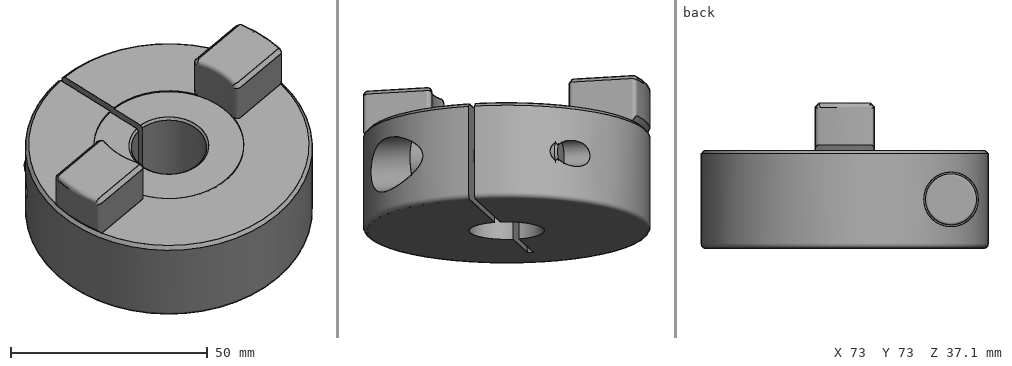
import cadquery as cq
import math

hub_radius = 36.5
hub_height = 25.0
rim_chamfer = 0.9
bottom_fillet = 1.25
bore_radius = 9.55
bore_chamfer = 0.6
recess_radius = 19.05
recess_depth = 0.4

lug_width = 15.05
lug_height = 12.05
lug_fillet = 1.2
lug_chamfer = 1.0
lug_undercut_height = 1.4

slit_width = 1.5
saw_radius = 48.2
saw_center_x = -18.25
saw_center_z = -21.9

screw_x = -27.0
screw_z = hub_height / 2
shank_radius = 4.0
shank_length = 30.0
tip_chamfer = 0.65
head_radius = 6.5
head_length = 8.0
head_fillet = 0.5
head_top_y = 17.0
head_seat_y = head_top_y - head_length
shank_end_y = head_seat_y - shank_length
counterbore_radius = 6.9
outlet_radius = shank_radius - tip_chamfer


def rod_along_y(radius, start_y, end_y):
    """Cylinder on the screw axis between two Y positions."""
    plane = cq.Plane(origin=(screw_x, start_y, screw_z), xDir=(1, 0, 0), normal=(0, 1, 0))
    return cq.Workplane(plane).circle(radius).extrude(end_y - start_y)


def make_lug():
    """Lug on the +Y side, bounded by the recess wall and the rim."""
    ring = (
        cq.Workplane("XY", origin=(0, 0, hub_height))
        .circle(hub_radius)
        .circle(recess_radius)
        .extrude(lug_height)
    )
    strip = (
        cq.Workplane("XY", origin=(0, hub_radius / 2, hub_height))
        .rect(lug_width, hub_radius)
        .extrude(lug_height)
    )
    lug = ring.intersect(strip)
    lug = lug.faces(">Z").edges("|Y").chamfer(lug_chamfer)
    curved_face_edges = lug.faces("%CYLINDER").edges("not <Z")
    return curved_face_edges.fillet(lug_fillet)


def make_rim_groove():
    """V-shaped ring that chamfers the rim and undercuts the feet of the lugs."""
    return (
        cq.Workplane("XZ")
        .moveTo(hub_radius - rim_chamfer, hub_height)
        .lineTo(hub_radius, hub_height - rim_chamfer)
        .lineTo(hub_radius + rim_chamfer, hub_height)
        .lineTo(hub_radius, hub_height + lug_undercut_height)
        .close()
        .revolve(360, (0, 0, 0), (0, 1, 0))
    )


def make_bore():
    """Through bore with a chamfered mouth, and the shallow recess around it."""
    floor_z = hub_height - recess_depth
    return (
        cq.Workplane("XZ")
        .moveTo(0, 0)
        .lineTo(bore_radius, 0)
        .lineTo(bore_radius, floor_z - bore_chamfer)
        .lineTo(bore_radius + bore_chamfer, floor_z)
        .lineTo(recess_radius, floor_z)
        .lineTo(recess_radius, hub_height)
        .lineTo(0, hub_height)
        .close()
        .revolve(360, (0, 0, 0), (0, 1, 0))
    )


def make_slit():
    """Full-height slit from the rim to the bore, plus the saw cut on the far side."""
    slit = cq.Workplane("XY").box(hub_radius, slit_width, hub_height, centered=(False, True, False))
    slit = slit.translate((-hub_radius, 0, 0))
    saw_floor_x = saw_center_x + math.sqrt(saw_radius**2 - saw_center_z**2)
    saw_top_z = saw_center_z + math.sqrt(saw_radius**2 - saw_center_x**2)
    start_angle = math.atan2(-saw_center_z, saw_floor_x - saw_center_x)
    end_angle = math.atan2(saw_top_z - saw_center_z, -saw_center_x)
    middle_angle = (start_angle + end_angle) / 2
    arc_middle = (
        saw_center_x + saw_radius * math.cos(middle_angle),
        saw_center_z + saw_radius * math.sin(middle_angle),
    )
    saw_cut = (
        cq.Workplane("XZ")
        .moveTo(0, 0)
        .lineTo(saw_floor_x, 0)
        .threePointArc(arc_middle, (0, saw_top_z))
        .close()
        .extrude(slit_width / 2, both=True)
    )
    return slit.union(saw_cut)


def make_shank():
    """Screw shank with its chamfered tip; also the shape of the hole that it fills."""
    shank = rod_along_y(shank_radius, shank_end_y, head_seat_y)
    return shank.faces("<Y").edges().chamfer(tip_chamfer)


def make_screw_hole():
    """Counterbore, hole fitting the shank and its tip, and the outlet beyond the tip."""
    counterbore = rod_along_y(counterbore_radius, head_seat_y, hub_radius)
    outlet = rod_along_y(outlet_radius, -hub_radius, shank_end_y)
    return counterbore.union(make_shank()).union(outlet)


def make_hub():
    hub = cq.Workplane("XY").circle(hub_radius).extrude(hub_height)
    hub = hub.faces("<Z").edges().fillet(bottom_fillet)
    lug = make_lug()
    for angle in (0, 180):
        hub = hub.union(lug.rotate((0, 0, 0), (0, 0, 1), angle))
    for cutter in (make_rim_groove(), make_bore(), make_slit(), make_screw_hole()):
        hub = hub.cut(cutter)
    return hub


def make_screw():
    head = rod_along_y(head_radius, head_seat_y, head_top_y).faces(">Y").edges().fillet(head_fillet)
    return make_shank().union(head)


hub = make_hub()
screw = make_screw()

result = cq.Compound.makeCompound([hub.solids().val(), screw.solids().val()])